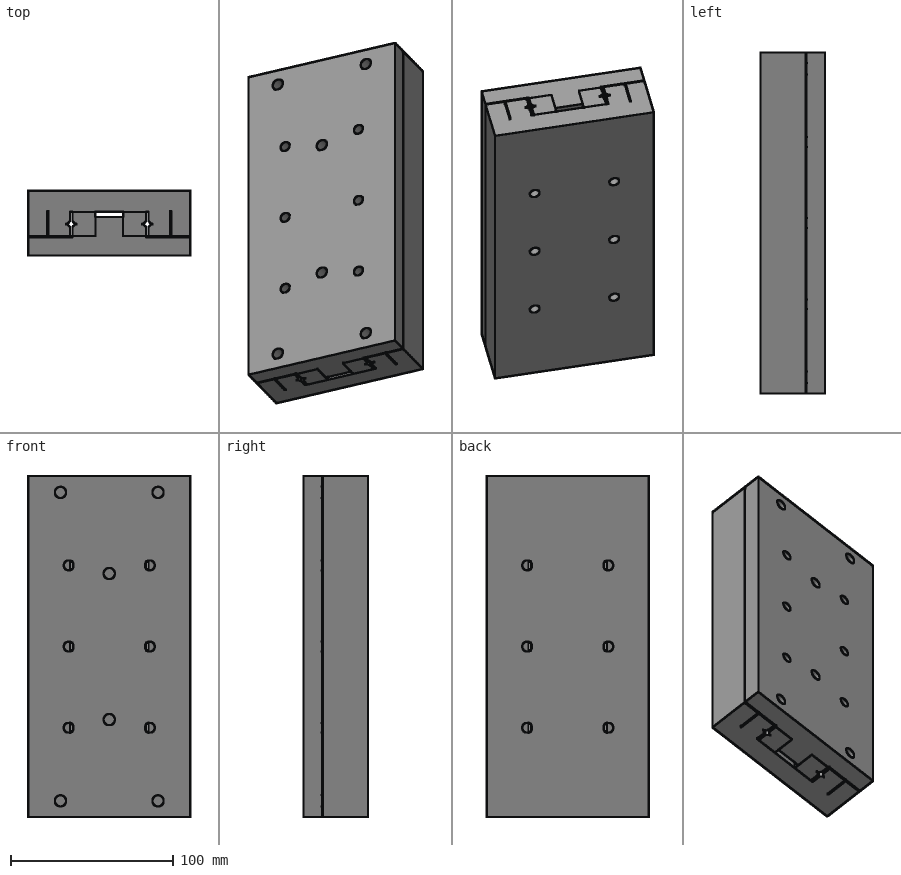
import cadquery as cq

WIDTH = 100.0
THICKNESS = 40.0
LENGTH = 210.0
BACK = THICKNESS / 2
FRONT = -THICKNESS / 2

SEAT_Y = -8.0
SEAT_RISE = 0.6
SEAT_HALF = 22.9
LEDGE_Y = SEAT_Y - SEAT_RISE
TONGUE_HALF = 8.6
TONGUE_TOP = 3.8

RAIL_OUTER = 22.7
RAIL_TOP = 7.0

HOUSING_FRONT = SEAT_Y
CHANNEL_GAP = 1.5
CHANNEL_HALF = RAIL_OUTER + CHANNEL_GAP
CHANNEL_FLOOR = RAIL_TOP
SLIT_X = 37.8
SLIT_WIDTH = 0.6
SLIT_END = 7.4

GROOVE_X = RAIL_OUTER + CHANNEL_GAP / 2
GROOVE_Y = -0.6
GROOVE_HALF = 2.5
RELIEF_HALF = 3.2
RELIEF_WIDTH = 0.2

CORNER_HOLE_DIAMETER = 7.0
CORNER_HOLE_X = 30.0
CORNER_HOLE_Z = 95.0
CENTRE_HOLE_DIAMETER = 7.0
CENTRE_HOLE_Z = 45.0
SIDE_HOLE_DIAMETER = 6.0
SIDE_HOLE_X = 25.0
SIDE_HOLE_PITCH = 50.0
SIDE_HOLE_PLACES = [
    (x, row * SIDE_HOLE_PITCH) for x in (-SIDE_HOLE_X, SIDE_HOLE_X) for row in (-1, 0, 1)
]


def block(x_min, x_max, y_min, y_max):
    """Full-length bar with the given X and Y limits."""
    return cq.Workplane("XY").box(
        x_max - x_min, y_max - y_min, LENGTH, centered=(False, False, True)
    ).translate((x_min, y_min, 0))


def groove_cutter(side):
    """Diamond bar with a thin relief blade, centred in one running gap."""
    diamond = (
        cq.Workplane("XY")
        .polyline([(-GROOVE_HALF, 0), (0, -GROOVE_HALF), (GROOVE_HALF, 0), (0, GROOVE_HALF)])
        .close()
        .extrude(LENGTH / 2, both=True)
    )
    relief = cq.Workplane("XY").box(2 * RELIEF_HALF, RELIEF_WIDTH, LENGTH)
    return diamond.union(relief).translate((side * GROOVE_X, GROOVE_Y, 0))


def drill(body, diameter, places, start_y=FRONT):
    """Drill round holes along +Y from start_y, out of the body, at (x, z) places."""
    holes = (
        cq.Workplane("XZ", origin=(0, start_y, 0))
        .pushPoints(places)
        .circle(diameter / 2)
        .extrude(-THICKNESS)
    )
    return body.cut(holes)


def make_housing():
    """Cover with the rail channel, two slits, the outer grooves and the side holes."""
    housing = block(-WIDTH / 2, WIDTH / 2, HOUSING_FRONT, BACK)
    housing = housing.cut(block(-CHANNEL_HALF, CHANNEL_HALF, HOUSING_FRONT, CHANNEL_FLOOR))
    for side in (-1, 1):
        slit_centre = side * SLIT_X
        slit = block(slit_centre - SLIT_WIDTH / 2, slit_centre + SLIT_WIDTH / 2, HOUSING_FRONT, SLIT_END)
        housing = housing.cut(slit).cut(groove_cutter(side))
    return drill(housing, SIDE_HOLE_DIAMETER, SIDE_HOLE_PLACES, start_y=CHANNEL_FLOOR)


def make_carriage():
    """Base plate, rail seat and tongue in one piece, with all holes drilled through."""
    plate = block(-WIDTH / 2, WIDTH / 2, FRONT, LEDGE_Y)
    seat = block(-SEAT_HALF, SEAT_HALF, LEDGE_Y, SEAT_Y)
    tongue = block(-TONGUE_HALF, TONGUE_HALF, SEAT_Y, TONGUE_TOP)
    carriage = plate.union(seat).union(tongue)

    corner_places = [(x, z) for x in (-CORNER_HOLE_X, CORNER_HOLE_X) for z in (-CORNER_HOLE_Z, CORNER_HOLE_Z)]
    centre_places = [(0, z) for z in (-CENTRE_HOLE_Z, CENTRE_HOLE_Z)]
    carriage = drill(carriage, CORNER_HOLE_DIAMETER, corner_places)
    carriage = drill(carriage, CENTRE_HOLE_DIAMETER, centre_places)
    return drill(carriage, SIDE_HOLE_DIAMETER, SIDE_HOLE_PLACES)


def make_rail(side):
    """Grooved rail on the -X side (side = -1) or the +X side (side = 1)."""
    x_min, x_max = sorted((side * TONGUE_HALF, side * RAIL_OUTER))
    return block(x_min, x_max, SEAT_Y, RAIL_TOP).cut(groove_cutter(side))


housing = make_housing()
carriage = make_carriage()
rails = [make_rail(side) for side in (-1, 1)]

result = cq.Compound.makeCompound([housing.val(), carriage.val(), *[rail.val() for rail in rails]])